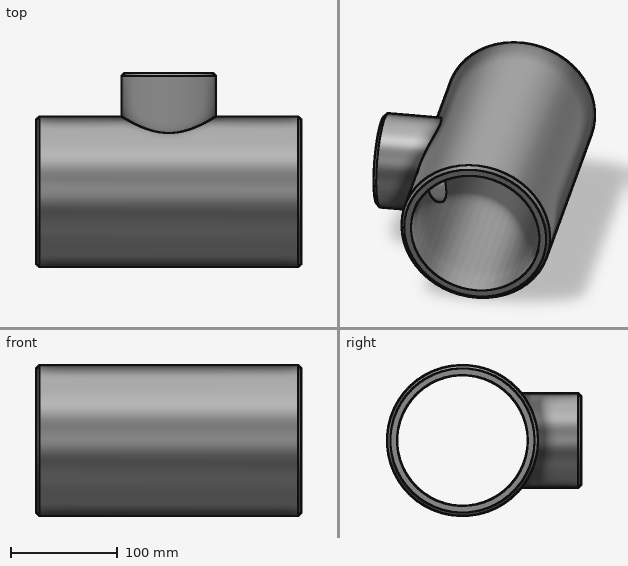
import cadquery as cq

run_length = 248.0
run_diameter = 141.3
wall = 9.7
branch_diameter = 88.7
branch_reach = 111.3
bevel = 3.2


def run_cylinder(diameter):
    """Cylinder along X, centred on the origin."""
    return cq.Workplane("YZ").circle(diameter / 2).extrude(run_length / 2, both=True)


def branch_cylinder(diameter):
    """Cylinder from the run axis out to the branch end face."""
    return cq.Workplane("XZ").circle(diameter / 2).extrude(-branch_reach)


run = run_cylinder(run_diameter).faces("<X or >X").chamfer(bevel)
branch = branch_cylinder(branch_diameter).faces(">Y").chamfer(bevel)

run_bore = run_cylinder(run_diameter - 2 * wall)
branch_bore = branch_cylinder(branch_diameter - 2 * wall)

result = run.union(branch).cut(run_bore).cut(branch_bore)